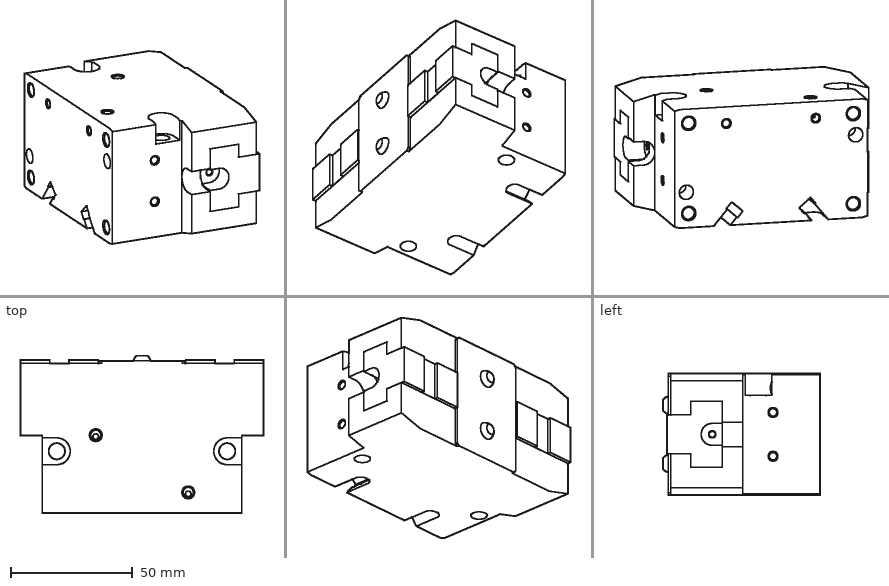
import cadquery as cq
import math

length = 100.0
height = 50.0
half_length = length / 2
half_height = height / 2

base_half_length = 41.0
shoulder_y = 31.8
end_drop = 3.0
end_slope = math.radians(15)
flat_half_length = half_length - end_drop / math.tan(end_slope)
cover_y = 53.3
cover_top_y = 61.5

plate_half_length = 17.6
plate_top_y = 62.5
plate_chamfer = 1.1
screw_z = 12.0
screw_sphere_radius = 3.7
screw_sphere_sink = 0.8
screw_top_y = 64.7

jaw_inner_x = 17.9
jaw_top_y = 63.0
jaw_foot_y = 40.3
jaw_foot_half_height = 13.6
jaw_stem_half_height = 8.0
key_width = 7.8
key_floor_y = cover_top_y
recess_radius = 4.5
recess_y = 44.4
recess_floor_x = base_half_length
jaw_screw_diameter = 2.5
jaw_screw_mouth = 3.0
jaw_screw_depth = 6.0

end_slot_radius = 5.0

bolt_x = 35.0
bolt_y = 25.4
bolt_diameter = 6.6
bolt_pocket_radius = 5.5
bolt_pocket_depth = 9.0

corner_z = 19.0
corner_diameter = 5.0
corner_mouth = 6.0
corner_depth = 18.0
dowel_x = 36.0
dowel_z = 10.0
dowel_diameter = 6.0
dowel_depth = 12.0

port_x = 19.0
front_port_z = 18.0
small_thread_diameter = 3.1
small_thread_mouth = 4.0
top_ports = [(-port_x, 32.0), (port_x, 8.5)]
top_port_diameter = 4.2
top_port_mouth = 5.2
top_port_depth = 8.3
bleed_diameter = 2.3
bleed_depth = 14.0
bleed_offset = 0.6
side_hole_y = 19.4
side_hole_z = 9.0
side_hole_depth = 8.0

sensor_tip_x = 14.4
sensor_tip_z = -17.3
sensor_angle = math.radians(50)
sensor_head_diameter = 6.3
sensor_head_length = 3.5
sensor_axis_y = 12.0
sensor_shank_diameter = 5.4
sensor_shank_length = 15.0

drill_point_angle = math.radians(118)


def box(x_range, y_range, z_range):
    """Box between two limits on each axis."""
    size = [high - low for low, high in (x_range, y_range, z_range)]
    corner = (x_range[0], y_range[0], z_range[0])
    return cq.Workplane("XY").box(*size, centered=False).translate(corner)


def drilled_hole(start, direction, diameter, depth, mouth=None, flat_floor=False):
    """Cutter for a blind hole, with a drill point or flat floor and an optional 45 degree mouth chamfer."""
    radius = diameter / 2
    mouth_radius = (mouth or diameter) / 2
    tip = 0 if flat_floor else radius / math.tan(drill_point_angle / 2)
    profile = cq.Workplane("XZ").moveTo(0, 0).lineTo(mouth_radius, 0)
    if mouth:
        profile = profile.lineTo(radius, mouth_radius - radius)
    profile = profile.lineTo(radius, depth).lineTo(0, depth + tip).close()
    hole = profile.revolve(360, (0, 0, 0), (0, 1, 0)).val()
    return cq.Workplane(hole.moved(cq.Plane(origin=start, normal=direction).location))


def end_sloped_outline(half_width):
    """XZ outline of the housing, cut off at the given half width."""
    end_half_height = half_height - (half_width - flat_half_length) * math.tan(end_slope)
    return [
        (half_width, end_half_height),
        (flat_half_length, half_height),
        (-flat_half_length, half_height),
        (-half_width, end_half_height),
        (-half_width, -end_half_height),
        (-flat_half_length, -half_height),
        (flat_half_length, -half_height),
        (half_width, -end_half_height),
    ]


def housing_slab(half_width, y_start, y_end):
    """Part of the housing between two Y positions."""
    slab = cq.Workplane("XZ", origin=(0, y_start, 0)).polyline(end_sloped_outline(half_width)).close()
    return slab.extrude(y_start - y_end)


def jaw_blank(side):
    """T-section bar that slides in the housing; side is -1 or +1."""
    x_range = sorted((side * jaw_inner_x, side * half_length))
    foot = box(x_range, (jaw_foot_y, cover_y), (-jaw_foot_half_height, jaw_foot_half_height))
    stem = box(x_range, (cover_y, jaw_top_y), (-jaw_stem_half_height, jaw_stem_half_height))
    return foot.union(stem)


def jaw(side):
    """Finished jaw with its key slot, rounded end recess and screw hole."""
    key_x = side * (jaw_inner_x + half_length) / 2
    key = box(
        (key_x - key_width / 2, key_x + key_width / 2),
        (key_floor_y, jaw_top_y),
        (-jaw_stem_half_height, jaw_stem_half_height),
    )
    recess_x = sorted((side * recess_floor_x, side * half_length))
    recess = box(recess_x, (jaw_foot_y, recess_y), (-recess_radius, recess_radius))
    recess_round = (
        cq.Workplane("YZ", origin=(recess_x[0], recess_y, 0))
        .circle(recess_radius)
        .extrude(recess_x[1] - recess_x[0])
    )
    screw_start = (side * recess_floor_x, recess_y, 0)
    inward = (-side, 0, 0)
    screw_hole = drilled_hole(screw_start, inward, jaw_screw_diameter, jaw_screw_depth, jaw_screw_mouth)
    return jaw_blank(side).cut(key).cut(recess).cut(recess_round).cut(screw_hole)


def cut_end_slots(body):
    """Round-ended slots that open each housing end in front of the jaw recess."""
    slot_centre_x = base_half_length + end_slot_radius
    for side in (-1, 1):
        round_end = (
            cq.Workplane("XZ", origin=(side * slot_centre_x, shoulder_y, 0))
            .circle(end_slot_radius)
            .extrude(shoulder_y - jaw_foot_y)
        )
        open_end = box(
            sorted((side * slot_centre_x, side * half_length)),
            (shoulder_y, jaw_foot_y),
            (-end_slot_radius, end_slot_radius),
        )
        body = body.cut(round_end).cut(open_end)
    return body


def cut_bolt_holes(body):
    """Vertical through holes, each with a pocket for the bolt head open to the side."""
    floor_z = half_height - bolt_pocket_depth
    for side in (-1, 1):
        hole = cq.Workplane("XY", origin=(side * bolt_x, bolt_y, -half_height)).circle(bolt_diameter / 2)
        pocket = cq.Workplane("XY", origin=(side * bolt_x, bolt_y, floor_z)).circle(bolt_pocket_radius)
        opening = box(
            sorted((side * bolt_x, side * base_half_length)),
            (bolt_y - bolt_pocket_radius, bolt_y + bolt_pocket_radius),
            (floor_z, half_height),
        )
        body = body.cut(hole.extrude(height)).cut(pocket.extrude(bolt_pocket_depth)).cut(opening)
    return body


def cut_mounting_face_holes(body):
    """Threaded corner holes and two dowel holes in the mounting face."""
    inward = (0, 1, 0)
    for side in (-1, 1):
        lower = (side * bolt_x, 0, -corner_z)
        upper = (side * bolt_x, 0, corner_z)
        dowel = (side * dowel_x, 0, side * dowel_z)
        body = body.cut(drilled_hole(lower, inward, corner_diameter, corner_depth, corner_mouth))
        body = body.cut(drilled_hole(upper, inward, corner_diameter, bolt_y, corner_mouth))
        body = body.cut(drilled_hole(dowel, inward, dowel_diameter, dowel_depth))
    return body


def cut_air_ports(body):
    """Flat-floored top ports with a bleed hole below, each met by a port from the mounting face."""
    down = (0, 0, -1)
    for x, y in top_ports:
        top = (x, y, half_height)
        bleed = (x, y - bleed_offset, half_height)
        face = (x, 0, front_port_z)
        port = drilled_hole(top, down, top_port_diameter, top_port_depth, top_port_mouth, flat_floor=True)
        body = body.cut(port)
        body = body.cut(drilled_hole(bleed, down, bleed_diameter, bleed_depth))
        body = body.cut(drilled_hole(face, (0, 1, 0), small_thread_diameter, y, small_thread_mouth))
    return body


def cut_side_holes(body):
    """Two threaded holes in each end of the mounting part."""
    for side in (-1, 1):
        for z in (-side_hole_z, side_hole_z):
            start = (side * base_half_length, side_hole_y, z)
            inward = (-side, 0, 0)
            hole = drilled_hole(start, inward, small_thread_diameter, side_hole_depth, small_thread_mouth)
            body = body.cut(hole)
    return body


def sensor_groove(diameter, groove_length):
    """Groove cutter along +X from the origin, open toward -Y with a round bottom."""
    radius = diameter / 2
    round_bottom = cq.Workplane("YZ", origin=(0, sensor_axis_y, 0)).circle(radius).extrude(groove_length)
    mouth = box((0, groove_length), (0, sensor_axis_y), (-radius, radius))
    return round_bottom.union(mouth)


def cut_sensor_grooves(body):
    """Slanted grooves that run out of the underside, wider at their inner end."""
    head = sensor_groove(sensor_head_diameter, sensor_head_length)
    shank = sensor_groove(sensor_shank_diameter, sensor_shank_length)
    groove = head.union(shank).rotate((0, 0, 0), (0, 1, 0), math.degrees(sensor_angle))
    right_groove = groove.translate((sensor_tip_x, 0, sensor_tip_z))
    return body.cut(right_groove).cut(right_groove.mirror("YZ"))


def screw_head(z):
    """Domed screw head with a flat top, partly sunk in the centre plate."""
    centre_y = plate_top_y - screw_sphere_sink
    dome = cq.Workplane("XY").sphere(screw_sphere_radius).translate((0, centre_y, z))
    reach = (-screw_sphere_radius, screw_sphere_radius)
    keep = box(reach, (cover_top_y, screw_top_y), (z + reach[0], z + reach[1]))
    return dome.intersect(keep)


def cover():
    """Cover slab with the raised centre plate and its screw heads."""
    plate = box(
        (-plate_half_length, plate_half_length),
        (cover_top_y, plate_top_y),
        (-half_height, half_height),
    )
    plate = plate.edges("|Y").chamfer(plate_chamfer)
    body = housing_slab(half_length, cover_y, cover_top_y).union(plate, clean=False)
    for z in (-screw_z, screw_z):
        body = body.union(screw_head(z), clean=False)
    return body


def make_housing():
    """Housing block and cover as one solid, hollowed for the jaws."""
    body = housing_slab(base_half_length, 0, shoulder_y).union(housing_slab(half_length, shoulder_y, cover_y))
    body = cut_end_slots(body)
    body = cut_bolt_holes(body)
    body = cut_mounting_face_holes(body)
    body = cut_air_ports(body)
    body = cut_side_holes(body)
    body = cut_sensor_grooves(body)
    body = body.union(cover(), clean=False)
    for side in (-1, 1):
        body = body.cut(jaw_blank(side), clean=False)
    return body


housing = make_housing()
jaws = [jaw(side) for side in (-1, 1)]
result = cq.Compound.makeCompound([housing.val()] + [one_jaw.val() for one_jaw in jaws])